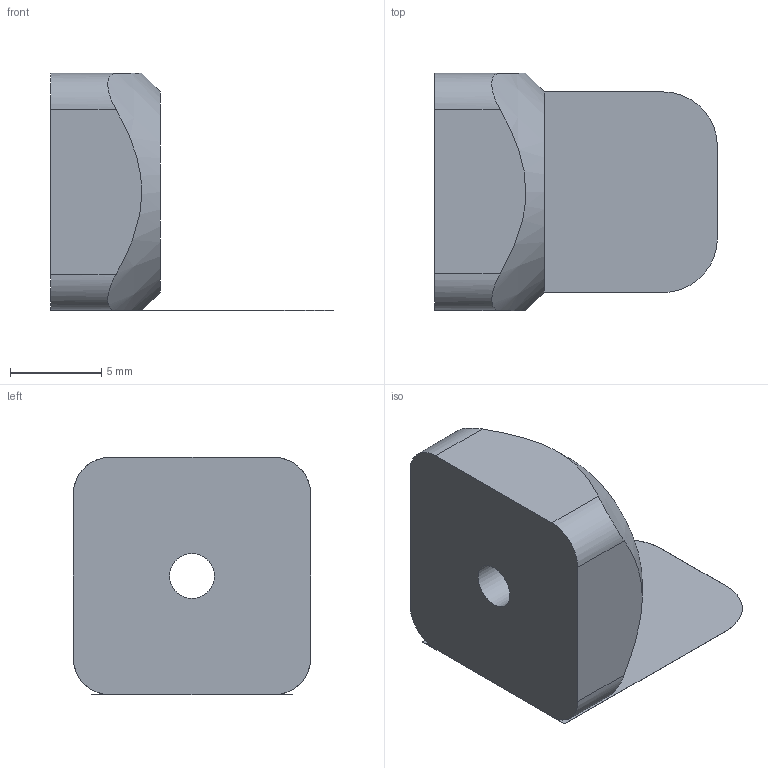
import cadquery as cq

block_side = 13.0
block_thickness = 6.0
block_corner_radius = 2.0
hole_diameter = 2.46

bevel_depth = 1.0
bevel_small_radius = block_side / 2 - bevel_depth

tab_reach = 15.5
tab_width = 2 * bevel_small_radius
tab_thickness = 0.01
tab_corner_radius = 3.0


def make_block():
    """Rounded square plate, from x = 0 to its thickness, centred on the X axis."""
    return (
        cq.Workplane("YZ")
        .rect(block_side, block_side)
        .extrude(block_thickness)
        .edges("|X")
        .fillet(block_corner_radius)
    )


def make_bevel_envelope():
    """45 degree cone narrowing toward +X; what lies outside it is cut off the block."""
    base_radius = bevel_small_radius + block_thickness
    return cq.Workplane(
        cq.Solid.makeCone(
            base_radius,
            bevel_small_radius,
            block_thickness,
            dir=cq.Vector(1, 0, 0),
        )
    )


def make_hole():
    """Cylinder along X for the central through hole."""
    return cq.Workplane("YZ").circle(hole_diameter / 2).extrude(block_thickness)


def make_tab():
    """Thin sheet running under the block and out to +X, with rounded free corners."""
    return (
        cq.Workplane("XY", origin=(0, 0, -block_side / 2))
        .rect(tab_reach, tab_width)
        .extrude(tab_thickness)
        .translate((tab_reach / 2, 0, 0))
        .edges("|Z and >X")
        .fillet(tab_corner_radius)
    )


beveled_block = make_block().intersect(make_bevel_envelope())
result = beveled_block.cut(make_hole()).union(make_tab())